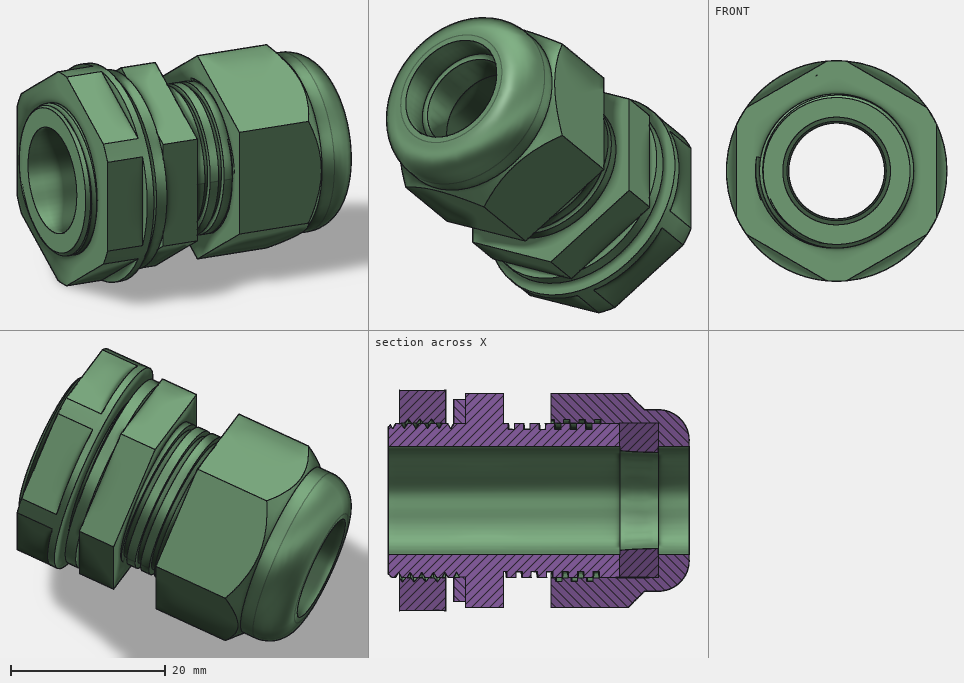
import cadquery as cq
import math


TOTAL_LENGTH = 39
NUT_BOTTOM = 1.45
NUT_TOP = 7.5
NUT_FLANGE = 0.98
WASHER_BOTTOM = 8.45
BODY_HEX_BOTTOM = 10.0
BODY_HEX_TOP = 14.95
CAP_BOTTOM = 21.05
CAP_COLLAR_BOTTOM = 33.2
BODY_TOP = 30.0
INSERT_TOP = 35.0

WRENCH_FLATS = 24.02
NUT_WRENCH_FLATS = 25.9
NUT_DIAMETER = 28.6
WASHER_RADIUS = 13.1
COLLAR_RADIUS = 11.78
DOME_ROUNDING = 4.0
THREAD_RADIUS = 10.0
BORE_RADIUS = 7.0
INSERT_BORE_RADIUS = 6.45
INSERT_THROAT_RADIUS = 6.2

PITCH_SPAN = 6.0
ENTRY_PITCH = PITCH_SPAN / 4
CAP_PITCH = PITCH_SPAN / 3

ENTRY_DEPTH = 0.65
ENTRY_GROOVE_HALF_WIDTH = ENTRY_DEPTH * math.tan(math.radians(30))
ENTRY_GROOVE_AT_PLUS_X = 0.98
ENTRY_CHAMFER = 0.45
ENTRY_GROOVE_END = 9.35

CAP_THREAD_DEPTH = 0.75
CAP_GROOVE_HALF_WIDTH = 0.4
CAP_GROOVE_AT_PLUS_X = 15.45
CAP_GROOVE_END = 27.3

NUT_GROOVE_DEPTH = 0.55
NUT_GROOVE_HALF_WIDTH = 0.43
NUT_GROOVE_END = 6.63
NUT_GROOVE_START_ANGLE = 190

CAVITY_GROOVE_DEPTH = 0.45
CAVITY_GROOVE_START_ANGLE = 260

OVERLAP = 0.2


def hexagon(across_flats, bottom, top):
    """Hexagonal prism with two flats square to X."""
    corner_diameter = across_flats / math.cos(math.radians(30))
    prism = cq.Workplane("XY").polygon(6, corner_diameter).extrude(top - bottom)
    return prism.rotate((0, 0, 0), (0, 0, 1), 30).translate((0, 0, bottom))


def cylinder(radius, bottom, top):
    return cq.Workplane("XY").workplane(offset=bottom).circle(radius).extrude(top - bottom)


def helical_cutter(profile, pitch, start, end, left_handed, start_angle=0):
    """Sweep (radius, height) profile points along a helix that starts at the given height.

    The start angle is in degrees about local +Z, from +X (180 is -X and 270 becomes world +Z).
    """
    helix = cq.Wire.makeHelix(pitch, end - start, THREAD_RADIUS, lefthand=left_handed)
    groove = cq.Workplane("XZ").polyline(profile).close().sweep(cq.Workplane(obj=helix), isFrenet=True)
    return groove.translate((0, 0, start)).rotate((0, 0, 0), (0, 0, 1), start_angle)


def lay_down(body):
    """Turn local +Z into +Y and keep the body as a plain solid."""
    return body.rotate((0, 0, 0), (1, 0, 0), -90).solids()


def v_profile(mouth_radius, root_radius, half_width):
    """V groove with its mouth carried on along the flanks past the mouth radius."""
    reach = math.copysign(OVERLAP, mouth_radius - root_radius)
    mouth_half_width = half_width * (1 + OVERLAP / abs(mouth_radius - root_radius))
    return [
        (root_radius, 0),
        (mouth_radius + reach, mouth_half_width),
        (mouth_radius + reach, -mouth_half_width),
    ]


def square_profile(mouth_radius, root_radius):
    """Square cap-thread groove with its mouth carried on past the mouth radius."""
    mouth = mouth_radius + math.copysign(OVERLAP, mouth_radius - root_radius)
    return [
        (root_radius, -CAP_GROOVE_HALF_WIDTH),
        (mouth, -CAP_GROOVE_HALF_WIDTH),
        (mouth, CAP_GROOVE_HALF_WIDTH),
        (root_radius, CAP_GROOVE_HALF_WIDTH),
    ]


def entry_thread():
    shank = cylinder(THREAD_RADIUS, 0, BODY_HEX_BOTTOM).faces("<Z").chamfer(ENTRY_CHAMFER)
    profile = v_profile(THREAD_RADIUS, THREAD_RADIUS - ENTRY_DEPTH, ENTRY_GROOVE_HALF_WIDTH)
    start = ENTRY_GROOVE_AT_PLUS_X - 2 * ENTRY_PITCH
    groove = helical_cutter(profile, ENTRY_PITCH, start, ENTRY_GROOVE_END, False)
    return shank.cut(groove)


def cap_thread():
    shank = cylinder(THREAD_RADIUS, BODY_HEX_TOP, BODY_TOP)
    profile = square_profile(THREAD_RADIUS, THREAD_RADIUS - CAP_THREAD_DEPTH)
    start = CAP_GROOVE_AT_PLUS_X - CAP_PITCH
    return shank.cut(helical_cutter(profile, CAP_PITCH, start, CAP_GROOVE_END, True))


def make_gland_body():
    """Hexagon between the entry thread and the cap thread, bored through."""
    body = hexagon(WRENCH_FLATS, BODY_HEX_BOTTOM, BODY_HEX_TOP)
    body = body.union(entry_thread()).union(cap_thread())
    return body.cut(cylinder(BORE_RADIUS, 0, BODY_TOP))


def make_cap_nut():
    """Domed hexagonal cap with a threaded cavity and a cable opening."""
    outer_limit = WRENCH_FLATS / math.sqrt(3) + OVERLAP
    cone_drop = outer_limit - COLLAR_RADIUS
    dome_start = TOTAL_LENGTH - DOME_ROUNDING
    flat_radius = COLLAR_RADIUS - DOME_ROUNDING
    arc_offset = DOME_ROUNDING * math.sin(math.radians(45))
    envelope = (
        cq.Workplane("XZ")
        .moveTo(0, CAP_BOTTOM)
        .lineTo(outer_limit, CAP_BOTTOM)
        .lineTo(outer_limit, CAP_COLLAR_BOTTOM - cone_drop)
        .lineTo(COLLAR_RADIUS, CAP_COLLAR_BOTTOM)
        .lineTo(COLLAR_RADIUS, dome_start)
        .threePointArc((flat_radius + arc_offset, dome_start + arc_offset), (flat_radius, TOTAL_LENGTH))
        .lineTo(0, TOTAL_LENGTH)
        .close()
        .revolve(360, (0, 0), (0, 1))
    )
    cap = hexagon(WRENCH_FLATS, CAP_BOTTOM, TOTAL_LENGTH).intersect(envelope)
    cap = cap.cut(cylinder(THREAD_RADIUS, CAP_BOTTOM, INSERT_TOP))
    cap = cap.cut(cylinder(BORE_RADIUS, INSERT_TOP, TOTAL_LENGTH))
    profile = square_profile(THREAD_RADIUS, THREAD_RADIUS + CAVITY_GROOVE_DEPTH)
    groove = helical_cutter(
        profile, CAP_PITCH, CAP_BOTTOM, CAP_GROOVE_END, False, CAVITY_GROOVE_START_ANGLE
    )
    return cap.cut(groove)


def make_sealing_insert():
    """Ring between the body end and the dome, with a bore that tapers towards the dome."""
    return (
        cq.Workplane("XZ")
        .polyline([
            (INSERT_BORE_RADIUS, BODY_TOP),
            (THREAD_RADIUS, BODY_TOP),
            (THREAD_RADIUS, INSERT_TOP),
            (INSERT_THROAT_RADIUS, INSERT_TOP),
        ])
        .close()
        .revolve(360, (0, 0), (0, 1))
    )


def make_washer():
    return cylinder(WASHER_RADIUS, WASHER_BOTTOM, BODY_HEX_BOTTOM).cut(
        cylinder(THREAD_RADIUS, WASHER_BOTTOM, BODY_HEX_BOTTOM)
    )


def make_locknut():
    """Round-cornered hexagon nut with a round flange towards the washer."""
    flange_bottom = NUT_TOP - NUT_FLANGE
    nut_radius = NUT_DIAMETER / 2
    grip = cylinder(nut_radius, NUT_BOTTOM, flange_bottom).intersect(
        hexagon(NUT_WRENCH_FLATS, NUT_BOTTOM, flange_bottom)
    )
    nut = grip.union(cylinder(nut_radius, flange_bottom, NUT_TOP))
    nut = nut.cut(cylinder(THREAD_RADIUS, NUT_BOTTOM, NUT_TOP))
    profile = v_profile(THREAD_RADIUS, THREAD_RADIUS + NUT_GROOVE_DEPTH, NUT_GROOVE_HALF_WIDTH)
    groove = helical_cutter(profile, ENTRY_PITCH, NUT_BOTTOM, NUT_GROOVE_END, True, NUT_GROOVE_START_ANGLE)
    return nut.cut(groove)


gland_body = lay_down(make_gland_body())
cap_nut = lay_down(make_cap_nut())
sealing_insert = lay_down(make_sealing_insert())
washer = lay_down(make_washer())
locknut = lay_down(make_locknut())

result = cq.Compound.makeCompound([
    gland_body.val(),
    cap_nut.val(),
    sealing_insert.val(),
    washer.val(),
    locknut.val(),
])